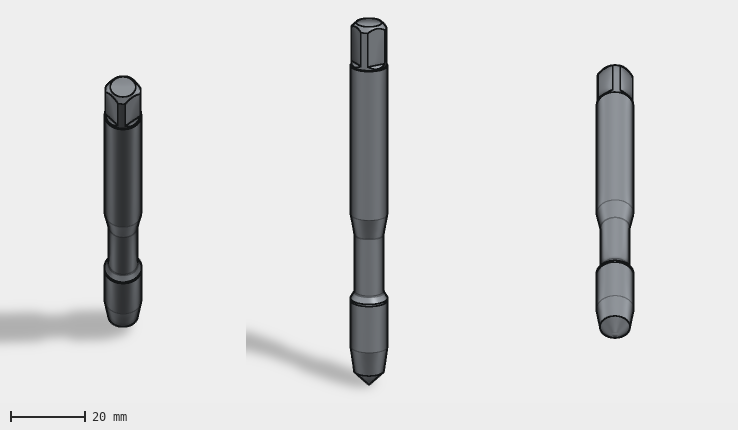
import cadquery as cq

TOTAL_LENGTH = 104.3
POINT_TOP = 4.1
LEAD_TOP = 11.2
THREAD_TOP = 24.4
COLLAR_TOP = 25.0
NECK_BOTTOM = 26.9
NECK_TOP = 43.4
SHANK_BOTTOM = 49.2
SHANK_TOP = 92.0

LEAD_DIAMETER = 8.1
THREAD_DIAMETER = 10.1
NECK_DIAMETER = 7.9
NECK_FILLET = 0.8
SHANK_DIAMETER = 10.0
DRIVE_DIAMETER = 9.6
TOP_FACE_DIAMETER = 6.9
EDGE_MARGIN = 0.1

SQUARE_WIDTH = 8.0
FLAT_BOTTOM = 93.2
SQUARE_SIDES = 4

drive_bottom = SHANK_TOP + (SHANK_DIAMETER - DRIVE_DIAMETER) / 2
bevel_bottom = TOTAL_LENGTH - (DRIVE_DIAMETER - TOP_FACE_DIAMETER) / 2


def turned(stations):
    """Revolve (diameter, height) stations about Z; the ends are closed on the axis."""
    rim = [(diameter / 2, height) for diameter, height in stations]
    outline = [(0, rim[0][1]), *rim, (0, rim[-1][1])]
    return cq.Workplane("XZ").polyline(outline).close().revolve(360, (0, 0), (0, 1))


def flat_cutter():
    """Prism that cuts one drive flat, with a 45-degree run-out at its lower end."""
    flat = SQUARE_WIDTH / 2
    outside = SHANK_DIAMETER
    runout_bottom = FLAT_BOTTOM - (outside - flat)
    outline = [
        (flat, TOTAL_LENGTH),
        (flat, FLAT_BOTTOM),
        (outside, runout_bottom),
        (outside, TOTAL_LENGTH),
    ]
    return cq.Workplane("XZ").polyline(outline).close().extrude(SHANK_DIAMETER, both=True)


def make_shank():
    """Square-drive shank with its neck and the collar that meets the threaded head."""
    shank = turned([
        (THREAD_DIAMETER, THREAD_TOP),
        (THREAD_DIAMETER, COLLAR_TOP),
        (NECK_DIAMETER, NECK_BOTTOM),
        (NECK_DIAMETER, NECK_TOP),
        (SHANK_DIAMETER, SHANK_BOTTOM),
        (SHANK_DIAMETER, SHANK_TOP),
        (DRIVE_DIAMETER, drive_bottom),
        (DRIVE_DIAMETER, bevel_bottom),
        (TOP_FACE_DIAMETER, TOTAL_LENGTH),
    ])
    neck_ends = cq.selectors.BoxSelector(
        (-NECK_DIAMETER, -NECK_DIAMETER, NECK_BOTTOM - EDGE_MARGIN),
        (NECK_DIAMETER, NECK_DIAMETER, NECK_TOP + EDGE_MARGIN),
    )
    shank = shank.edges("%CIRCLE").edges(neck_ends).fillet(NECK_FILLET)
    for side in range(SQUARE_SIDES):
        angle = side * 360 / SQUARE_SIDES
        shank = shank.cut(flat_cutter().rotate((0, 0, 0), (0, 0, 1), angle))
    return shank


def make_head():
    """Threaded head, shown plain, with a tapered lead and a conical point."""
    half_outline = [
        (0, 0),
        (LEAD_DIAMETER / 2, POINT_TOP),
        (THREAD_DIAMETER / 2, LEAD_TOP),
        (THREAD_DIAMETER / 2, THREAD_TOP),
        (0, THREAD_TOP),
    ]
    return cq.Workplane("XZ").polyline(half_outline).close().revolve(360, (0, 0), (0, 1))


shank = make_shank()
head = make_head()

result = cq.Compound.makeCompound([shank.val(), head.val()])